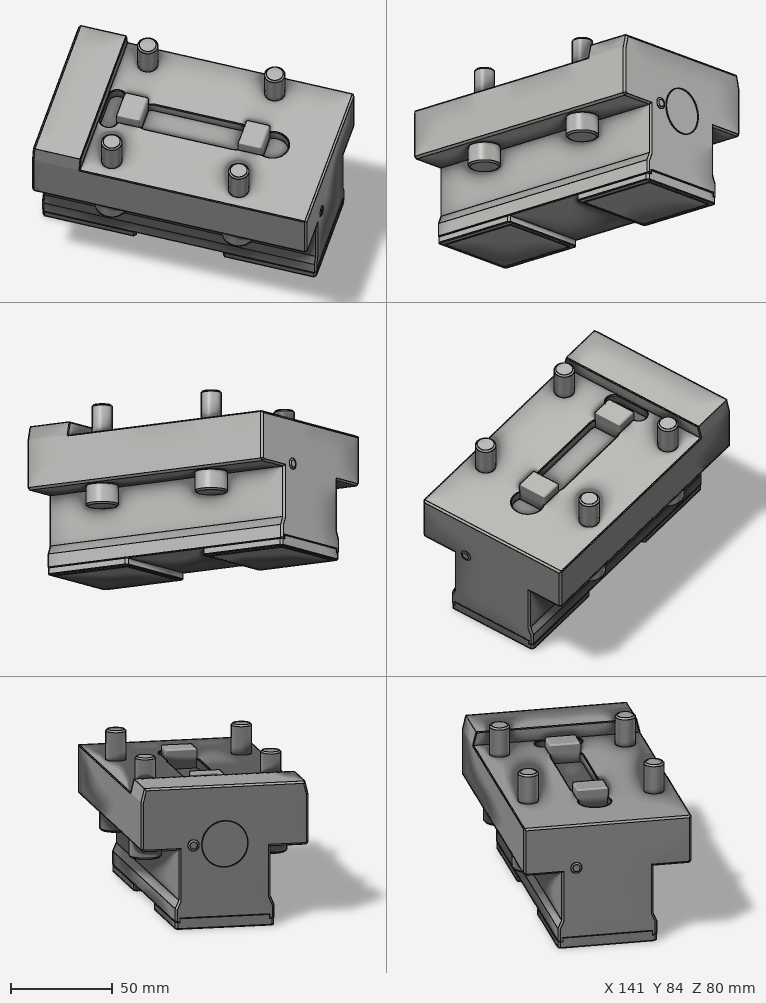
import cadquery as cq

LENGTH = 141.0
NOSE_OUT = 0.4
BODY_LENGTH = LENGTH - 2 * NOSE_OUT
BODY_END = BODY_LENGTH / 2
SCREW_TOP = 80.0

FLANGE_HALF = 42.0
JAW_TOP_HALF = 40.3
NECK_HALF = 23.0
FOOT_HALF = 24.8
BODY_BOTTOM = 3.8
FOOT_TOP = 10.7
NECK_BOTTOM = 15.0
FLANGE_BOTTOM = 40.0
DECK_TOP = 64.9
JAW_TOP = 71.8
JAW_FACE = -45.7
END_CHAMFER = 1.0
FLANGE_CHAMFER = 1.1
FINE_CHAMFER = 0.4

SCREW_X = 32.5
SCREW_Y = 31.6
SHANK_DIAMETER = 10.0
HEAD_DIAMETER = 16.0
HEAD_BOTTOM = 29.6
SCREW_CHAMFER = 0.8

SLOT_DEPTH = 4.8
SLOT_WIDTH = 16.0
MIDDLE_SLOT_LENGTH = 59.4
TAIL_CENTRE_X = 40.5
RELIEF_WIDTH = 8.6
RELIEF_LENGTH = 23.5
BLOCK_X = 31.0
BLOCK_LENGTH = 12.1
BLOCK_WIDTH = 15.7
BLOCK_TOP = 70.0
BLOCK_FILLET = 1.0

PAD_END = 69.8
PAD_LENGTH = 47.5
PAD_CHAMFER = 1.1
SOLE_HEIGHT = 0.4
SOLE_INSET_X = 2.1
SOLE_INSET_Y = 3.2
KEY_HALF = 22.5
KEY_TOP = 6.0
KEY_GAP = 0.3
SEAM_DEPTH = 0.4

AXIS_Z = 42.3
PLUG_DIAMETER = 23.0
PLUG_BORE = 23.3
PLUNGER_Y = 15.8
PLUNGER_DIAMETER = 5.6
NOSE_DIAMETER = 3.7


def make_box(x_min, x_max, width, z_min, z_max):
    """Box centred on Y = 0."""
    return (
        cq.Workplane("XY", origin=((x_min + x_max) / 2, 0, z_min))
        .box(x_max - x_min, width, z_max - z_min, centered=(True, True, False))
    )


def make_body():
    """T-shaped body with the raised jaw at the -X end."""
    half_outline = [
        (FOOT_HALF - FINE_CHAMFER, BODY_BOTTOM),
        (FOOT_HALF, BODY_BOTTOM + FINE_CHAMFER),
        (FOOT_HALF, FOOT_TOP),
        (NECK_HALF, NECK_BOTTOM),
        (NECK_HALF, FLANGE_BOTTOM),
        (FLANGE_HALF - FLANGE_CHAMFER, FLANGE_BOTTOM),
        (FLANGE_HALF, FLANGE_BOTTOM + FLANGE_CHAMFER),
        (FLANGE_HALF, DECK_TOP),
        (JAW_TOP_HALF, JAW_TOP),
    ]
    mirrored = [(-y, z) for y, z in reversed(half_outline)]
    body = (
        cq.Workplane("YZ", origin=(-BODY_END, 0, 0))
        .polyline(half_outline + mirrored)
        .close()
        .extrude(BODY_LENGTH)
    )
    above_deck = make_box(JAW_FACE, BODY_END, 2 * FLANGE_HALF, DECK_TOP, JAW_TOP)
    body = body.cut(above_deck)
    body = body.faces("<X or >X").edges("not <Z").chamfer(END_CHAMFER)
    jaw_wall = cq.selectors.NearestToPointSelector((JAW_FACE, 0, (DECK_TOP + JAW_TOP) / 2))
    return body.faces(jaw_wall).edges("not <Z").chamfer(FINE_CHAMFER)


def cut_deck_edges(body):
    """Fine chamfers along the two long edges of the deck."""
    for side in (-1, 1):
        edge_y = side * FLANGE_HALF
        strip = (
            cq.Workplane("YZ", origin=(JAW_FACE, 0, 0))
            .polyline([
                (edge_y, DECK_TOP),
                (edge_y - side * FINE_CHAMFER, DECK_TOP),
                (edge_y, DECK_TOP - FINE_CHAMFER),
            ])
            .close()
            .extrude(BODY_END - JAW_FACE)
        )
        body = body.cut(strip)
    return body


def make_slot_cutter(length, width, centre_x, angle=0):
    """Round-ended cutter with a chamfered rim at deck level; equal length and width give a circle."""
    def outline(plane, growth):
        if length > width:
            return plane.slot2D(length + growth, width + growth, angle)
        return plane.circle((width + growth) / 2)

    floor = cq.Workplane("XY", origin=(centre_x, 0, DECK_TOP - SLOT_DEPTH))
    deck = cq.Workplane("XY", origin=(centre_x, 0, DECK_TOP))
    walls = outline(floor, 0).extrude(SLOT_DEPTH)
    rim = outline(deck, 2 * FINE_CHAMFER).extrude(-FINE_CHAMFER, taper=45)
    return walls.union(rim)


def make_deck_slots():
    """Long slot, round tail pocket and the relief along the jaw wall."""
    relief_x = JAW_FACE + FINE_CHAMFER + RELIEF_WIDTH / 2
    middle = make_slot_cutter(MIDDLE_SLOT_LENGTH, SLOT_WIDTH, 0)
    tail = make_slot_cutter(SLOT_WIDTH, SLOT_WIDTH, TAIL_CENTRE_X)
    relief = make_slot_cutter(RELIEF_LENGTH, RELIEF_WIDTH, relief_x, angle=90)
    return middle.union(tail).union(relief)


def make_block(centre_x):
    """Rounded block that rises from the slot floor above the deck."""
    block = make_box(
        centre_x - BLOCK_LENGTH / 2, centre_x + BLOCK_LENGTH / 2,
        BLOCK_WIDTH, DECK_TOP - SLOT_DEPTH, BLOCK_TOP,
    )
    return block.edges("|Z or >Z").fillet(BLOCK_FILLET)


def make_screw():
    """Cap screw on the Z axis, head below the flange."""
    head = (
        cq.Workplane("XY", origin=(0, 0, HEAD_BOTTOM))
        .circle(HEAD_DIAMETER / 2)
        .extrude(FLANGE_BOTTOM - HEAD_BOTTOM)
        .faces("<Z").chamfer(SCREW_CHAMFER)
        .faces(">Z").chamfer(FINE_CHAMFER)
    )
    shank = (
        cq.Workplane("XY", origin=(0, 0, FLANGE_BOTTOM))
        .circle(SHANK_DIAMETER / 2)
        .extrude(SCREW_TOP - FLANGE_BOTTOM)
        .faces(">Z").chamfer(SCREW_CHAMFER)
    )
    return head.union(shank)


def make_pad():
    """Base pad at the -X end with a thin raised sole underneath."""
    inner_end = -PAD_END + PAD_LENGTH
    plate = make_box(-PAD_END, inner_end, 2 * FOOT_HALF, SOLE_HEIGHT, BODY_BOTTOM)
    plate = plate.edges("|Z").chamfer(PAD_CHAMFER)
    plate = plate.faces("<Z").chamfer(FINE_CHAMFER)
    sole = make_box(
        -PAD_END + SOLE_INSET_X, inner_end - SOLE_INSET_X,
        2 * (FOOT_HALF - SOLE_INSET_Y), 0, SOLE_HEIGHT,
    )
    return plate.union(sole)


def make_key_recess():
    """Shallow step in the -X end face above the pad, with a thin seam over the key."""
    step = make_box(-BODY_END, -PAD_END, 2 * KEY_HALF, BODY_BOTTOM, KEY_TOP)
    seam = make_box(-PAD_END, -PAD_END + SEAM_DEPTH, 2 * KEY_HALF, KEY_TOP - KEY_GAP, KEY_TOP)
    return step.union(seam)


def make_plug_gap():
    """Thin ring groove around the spindle plug in the -X end face."""
    return (
        cq.Workplane("YZ", origin=(-BODY_END, 0, AXIS_Z))
        .circle(PLUG_BORE / 2)
        .circle(PLUG_DIAMETER / 2)
        .extrude(SEAM_DEPTH)
    )


def make_plunger():
    """Tapered nose on the -X end face."""
    return (
        cq.Workplane("YZ", origin=(-BODY_END, PLUNGER_Y, AXIS_Z))
        .circle(PLUNGER_DIAMETER / 2)
        .workplane(offset=-NOSE_OUT)
        .circle(NOSE_DIAMETER / 2)
        .loft()
    )


def half_turn(shape):
    """Copy of a shape turned to the opposite end of the body."""
    return shape.rotate((0, 0, 0), (0, 0, 1), 180)


result = cut_deck_edges(make_body()).cut(make_deck_slots()).cut(make_plug_gap())

key_recess = make_key_recess()
result = result.cut(key_recess).cut(half_turn(key_recess))

for end_part in (make_pad(), make_plunger()):
    result = result.union(end_part).union(half_turn(end_part))

for x_side in (-1, 1):
    result = result.union(make_block(x_side * BLOCK_X))
    for y_side in (-1, 1):
        result = result.union(make_screw().translate((x_side * SCREW_X, y_side * SCREW_Y, 0)))